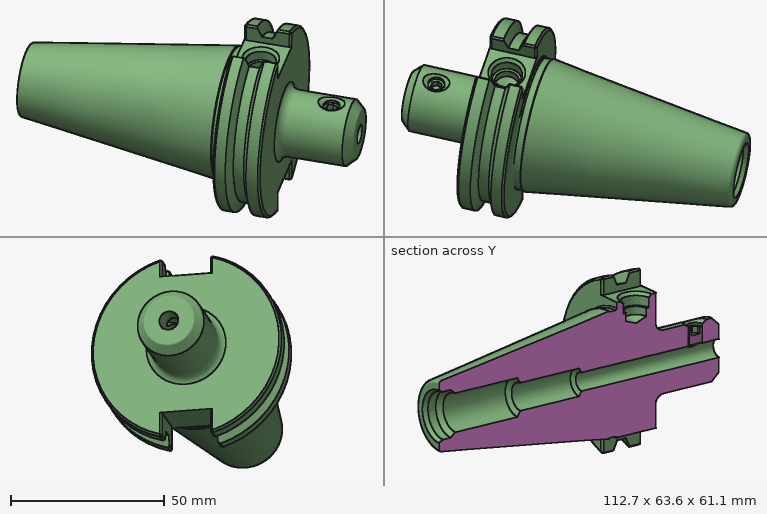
import cadquery as cq
import math

TOTAL_LENGTH = 112.7
GAUGE_X = 68.4
COLLAR_X = 68.6
FLANGE_START = 71.6
FLANGE_WIDTH = 15.9
FLANGE_END = FLANGE_START + FLANGE_WIDTH

TAPER_RATE = 7 / 24
GAUGE_DIAMETER = 44.5
SMALL_DIAMETER = GAUGE_DIAMETER - TAPER_RATE * GAUGE_X
NOSE_FILLET = 1.4
COLLAR_DIAMETER = 44.0
COLLAR_FILLET = 0.6

FLANGE_DIAMETER = 63.6
EDGE_CHAMFER = 0.7
GROOVE_CENTER = 79.3
GROOVE_DIAMETER = 56.4
GROOVE_FLOOR_WIDTH = 3.5
GROOVE_MOUTH_WIDTH = 7.0
SLOT_WIDTH = 16.2
TOP_SLOT_FLOOR = 24.6
BOTTOM_SLOT_FLOOR = 22.4

SHANK_DIAMETER = 22.2
SHANK_ROOT_DIAMETER = 26.6
SHANK_ROOT_LENGTH = 3.0
TIP_CHAMFER_LENGTH = 2.9
TIP_CHAMFER_HEIGHT = 2.7
TIP_FILLET = 0.7

MOUTH_DIAMETER = 18.3
PILOT_DIAMETER = 16.5
PILOT_DEPTH = 4.7
CORE_DIAMETER = 13.4
CORE_DEPTH = 31.6
DRILL_DIAMETER = 9.6
DRILL_DEPTH = 56.4
THROUGH_DIAMETER = 6.3
DRILL_HALF_ANGLE = math.radians(59)
MOUTH_HALF_ANGLE = math.radians(30)
CORE_HALF_ANGLE = math.radians(40)

POCKET_MOUTH = 12.2
POCKET_DIAMETER = 10.0
POCKET_DEPTH = 4.5
POCKET_CORE = 8.0
POCKET_CORE_DEPTH = 7.3
POCKET_POINT_HALF_ANGLE = math.radians(70)

SCREW_X = 103.2
SCREW_DIAMETER = 5.4
SCREW_TOP = 9.0
SCREW_BOTTOM = 3.4
SCREW_SINK_DIAMETER = 8.8
SCREW_SINK_HALF_ANGLE = math.radians(55)
HEX_FLATS = 3.3
HEX_DEPTH = 2.3


def cone_length(large_diameter, small_diameter, half_angle):
    """Length of a cone between two diameters."""
    return (large_diameter - small_diameter) / 2 / math.tan(half_angle)


def revolve_about_x(profile):
    """Revolve a closed profile in the XY plane about the X axis."""
    return profile.close().revolve(360, (0, 0, 0), (1, 0, 0))


def revolve_down(points, x, top_z):
    """Revolve (radius, depth) points about a vertical axis that starts at x, top_z."""
    plane = cq.Plane(origin=(x, 0, top_z), xDir=(1, 0, 0), normal=(0, -1, 0))
    profile = cq.Workplane(plane).polyline([(radius, -depth) for radius, depth in points])
    return profile.close().revolve(360, (0, 0, 0), (0, 1, 0))


def make_taper():
    """Solid taper with a rounded nose and a cylindrical collar."""
    profile = (
        cq.Workplane("XY")
        .lineTo(0, SMALL_DIAMETER / 2)
        .lineTo(GAUGE_X, GAUGE_DIAMETER / 2)
        .lineTo(COLLAR_X, COLLAR_DIAMETER / 2)
        .lineTo(FLANGE_START - COLLAR_FILLET, COLLAR_DIAMETER / 2)
        .radiusArc((FLANGE_START, COLLAR_DIAMETER / 2 + COLLAR_FILLET), -COLLAR_FILLET)
        .lineTo(FLANGE_START, 0)
    )
    return revolve_about_x(profile).faces("<X").edges().fillet(NOSE_FILLET)


def make_flange():
    """Flange disc with chamfered drive slots and a V-groove around its rim."""
    flange = cq.Workplane("YZ").workplane(offset=FLANGE_START)
    flange = flange.circle(FLANGE_DIAMETER / 2).extrude(FLANGE_WIDTH)
    middle = FLANGE_START + FLANGE_WIDTH / 2
    for side, floor in ((1, TOP_SLOT_FLOOR), (-1, BOTTOM_SLOT_FLOOR)):
        height = FLANGE_DIAMETER / 2
        slot = cq.Workplane("XY").box(FLANGE_WIDTH, SLOT_WIDTH, height)
        flange = flange.cut(slot.translate((middle, 0, side * (floor + height / 2))))

    rim_edges = flange.faces("%CYLINDER").edges()
    wall_edges = flange.faces("<X or >X").edges("|Z")
    flange = flange.newObject(rim_edges.vals() + wall_edges.vals()).chamfer(EDGE_CHAMFER)

    floor_radius = GROOVE_DIAMETER / 2
    rim_radius = FLANGE_DIAMETER / 2
    flank_slope = (GROOVE_MOUTH_WIDTH - GROOVE_FLOOR_WIDTH) / 2 / (rim_radius - floor_radius)
    cut_radius = rim_radius + 1.1
    half_cut = GROOVE_FLOOR_WIDTH / 2 + flank_slope * (cut_radius - floor_radius)
    half_floor = GROOVE_FLOOR_WIDTH / 2
    groove = cq.Workplane("XY").polyline([
        (GROOVE_CENTER - half_floor, floor_radius),
        (GROOVE_CENTER + half_floor, floor_radius),
        (GROOVE_CENTER + half_cut, cut_radius),
        (GROOVE_CENTER - half_cut, cut_radius),
    ])
    return flange.cut(revolve_about_x(groove))


def make_shank():
    """Shank with a curved root at the flange and a chamfered and rounded tip."""
    radius = SHANK_DIAMETER / 2
    profile = (
        cq.Workplane("XY")
        .moveTo(FLANGE_END, 0)
        .lineTo(TOTAL_LENGTH, 0)
        .lineTo(TOTAL_LENGTH, radius - TIP_CHAMFER_HEIGHT)
        .lineTo(TOTAL_LENGTH - TIP_CHAMFER_LENGTH, radius)
        .lineTo(FLANGE_END + SHANK_ROOT_LENGTH, radius)
        .tangentArcPoint((FLANGE_END, SHANK_ROOT_DIAMETER / 2), relative=False)
    )
    return revolve_about_x(profile).faces(">X").edges().fillet(TIP_FILLET)


def make_bore():
    """Cutter for the stepped bore, with a cone at each step."""
    mouth_depth = cone_length(MOUTH_DIAMETER, PILOT_DIAMETER, MOUTH_HALF_ANGLE)
    pilot_end = PILOT_DEPTH + cone_length(PILOT_DIAMETER, CORE_DIAMETER, CORE_HALF_ANGLE)
    core_end = CORE_DEPTH + cone_length(CORE_DIAMETER, DRILL_DIAMETER, DRILL_HALF_ANGLE)
    drill_end = DRILL_DEPTH + cone_length(DRILL_DIAMETER, THROUGH_DIAMETER, DRILL_HALF_ANGLE)
    return revolve_about_x(cq.Workplane("XY").polyline([
        (0, 0),
        (0, MOUTH_DIAMETER / 2),
        (mouth_depth, PILOT_DIAMETER / 2),
        (PILOT_DEPTH, PILOT_DIAMETER / 2),
        (pilot_end, CORE_DIAMETER / 2),
        (CORE_DEPTH, CORE_DIAMETER / 2),
        (core_end, DRILL_DIAMETER / 2),
        (DRILL_DEPTH, DRILL_DIAMETER / 2),
        (drill_end, THROUGH_DIAMETER / 2),
        (TOTAL_LENGTH, THROUGH_DIAMETER / 2),
        (TOTAL_LENGTH, 0),
    ]))


def make_pocket():
    """Cutter for the countersunk blind pocket, which ends in a drill point."""
    point_depth = POCKET_CORE_DEPTH + cone_length(POCKET_CORE, 0, POCKET_POINT_HALF_ANGLE)
    points = [
        (0, 0),
        (POCKET_MOUTH / 2, 0),
        (POCKET_DIAMETER / 2, (POCKET_MOUTH - POCKET_DIAMETER) / 2),
        (POCKET_DIAMETER / 2, POCKET_DEPTH),
        (POCKET_CORE / 2, POCKET_DEPTH),
        (POCKET_CORE / 2, POCKET_CORE_DEPTH),
        (0, point_depth),
    ]
    return revolve_down(points, GROOVE_CENTER, TOP_SLOT_FLOOR)


def make_screw_hole():
    """Cutter for the countersunk set-screw hole, which opens into the bore."""
    sink_depth = cone_length(SCREW_SINK_DIAMETER, SCREW_DIAMETER, SCREW_SINK_HALF_ANGLE)
    top_z = SHANK_DIAMETER / 2
    points = [
        (0, 0),
        (SCREW_SINK_DIAMETER / 2, 0),
        (SCREW_DIAMETER / 2, sink_depth),
        (SCREW_DIAMETER / 2, top_z),
        (0, top_z),
    ]
    return revolve_down(points, SCREW_X, top_z)


def make_holder():
    """Tool holder: taper, flange and shank in one piece, with all its holes."""
    holder = make_taper().union(make_flange()).union(make_shank())
    for cutter in (make_bore(), make_pocket(), make_screw_hole()):
        holder = holder.cut(cutter)
    return holder


def make_set_screw():
    """Set screw with a hexagon socket that has two flats facing along X."""
    screw = cq.Workplane("XY").workplane(offset=SCREW_BOTTOM).center(SCREW_X, 0)
    screw = screw.circle(SCREW_DIAMETER / 2).extrude(SCREW_TOP - SCREW_BOTTOM)
    socket = cq.Workplane("XY").polygon(6, HEX_FLATS, circumscribed=True).extrude(HEX_DEPTH)
    return screw.cut(socket.translate((SCREW_X, 0, SCREW_TOP - HEX_DEPTH)))


holder = make_holder()
set_screw = make_set_screw()
result = cq.Compound.makeCompound([holder.val(), set_screw.val()])